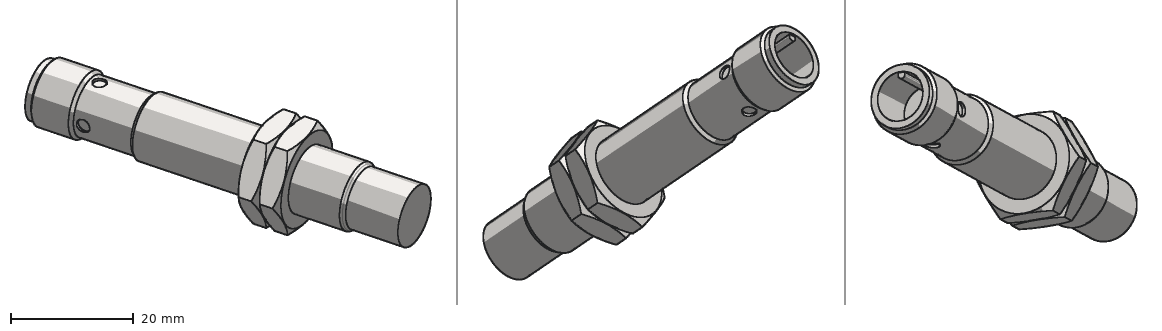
import cadquery as cq
import math

length = 70.2
thread_diameter = 12.0
thread_radius = thread_diameter / 2
neck_diameter = 10.9
neck_radius = neck_diameter / 2
collar_start = 1.1
collar_lead_in = 0.4
collar_end = 8.5
collar_lead_out = 0.6
thread_start = 19.95
thread_end = 59.5
thread_chamfer = 0.6
end_step_length = 0.35
end_step_radius = 5.75
end_taper_length = 0.5

socket_radius = 4.2
socket_depth = 9.0
key_width = 1.25
key_height = 1.05
key_setback = 0.4

window_count = 4
window_x = 10.95
window_diameter = 2.45
window_depth = 0.55

nut_count = 2
nut_start = 41.9
nut_thickness = 4.0
across_flats = 17.0
nut_face_radius = 8.4
nut_chamfer_angle = 30.0


def revolve_about_x(points):
    """Revolve a closed (x, radius) outline about the X axis."""
    return cq.Workplane("XY").polyline(points).close().revolve(360, (0, 0, 0), (1, 0, 0))


def make_barrel_blank():
    step_end = thread_end + end_step_length
    return revolve_about_x([
        (0, 0),
        (0, neck_radius),
        (collar_start, neck_radius),
        (collar_start + collar_lead_in, thread_radius),
        (collar_end, thread_radius),
        (collar_end + collar_lead_out, neck_radius),
        (thread_start, neck_radius),
        (thread_start + thread_chamfer, thread_radius),
        (thread_end, thread_radius),
        (step_end, end_step_radius),
        (step_end + end_taper_length, neck_radius),
        (length, neck_radius),
        (length, 0),
    ])


def make_socket():
    """Blind bore, leaving a round-nosed key along its top."""
    bore = cq.Workplane("YZ").circle(socket_radius).extrude(socket_depth)
    nose_radius = key_width / 2
    nose_z = socket_radius - key_height + nose_radius
    key = (
        cq.Workplane("YZ", origin=(key_setback, 0, 0))
        .moveTo(-nose_radius, socket_radius)
        .lineTo(-nose_radius, nose_z)
        .threePointArc((0, nose_z - nose_radius), (nose_radius, nose_z))
        .lineTo(nose_radius, socket_radius)
        .close()
        .extrude(socket_depth - key_setback)
    )
    return bore.cut(key)


def make_window(index):
    """Shallow round recess sunk radially into the neck."""
    recess = (
        cq.Workplane("XY", origin=(window_x, 0, neck_radius - window_depth))
        .circle(window_diameter / 2)
        .extrude(thread_radius)
    )
    return recess.rotate((0, 0, 0), (1, 0, 0), index * 360 / window_count)


def make_barrel():
    barrel = make_barrel_blank().cut(make_socket())
    for index in range(window_count):
        barrel = barrel.cut(make_window(index))
    return barrel


def make_nut(start):
    """Hexagon nut with both faces chamfered, corners pointing along Y."""
    corner_radius = across_flats / math.sqrt(3)
    chamfer = (corner_radius - nut_face_radius) * math.tan(math.radians(nut_chamfer_angle))
    end = start + nut_thickness
    hexagon = (
        cq.Workplane("YZ", origin=(start, 0, 0))
        .polygon(6, 2 * corner_radius)
        .extrude(nut_thickness)
    )
    chamfer_envelope = revolve_about_x([
        (start, 0),
        (start, nut_face_radius),
        (start + chamfer, corner_radius),
        (end - chamfer, corner_radius),
        (end, nut_face_radius),
        (end, 0),
    ])
    bore = cq.Workplane("YZ", origin=(start, 0, 0)).circle(thread_radius).extrude(nut_thickness)
    return hexagon.intersect(chamfer_envelope).cut(bore)


barrel = make_barrel()
nuts = [make_nut(nut_start + index * nut_thickness) for index in range(nut_count)]

result = cq.Compound.makeCompound([barrel.val(), *[nut.val() for nut in nuts]])